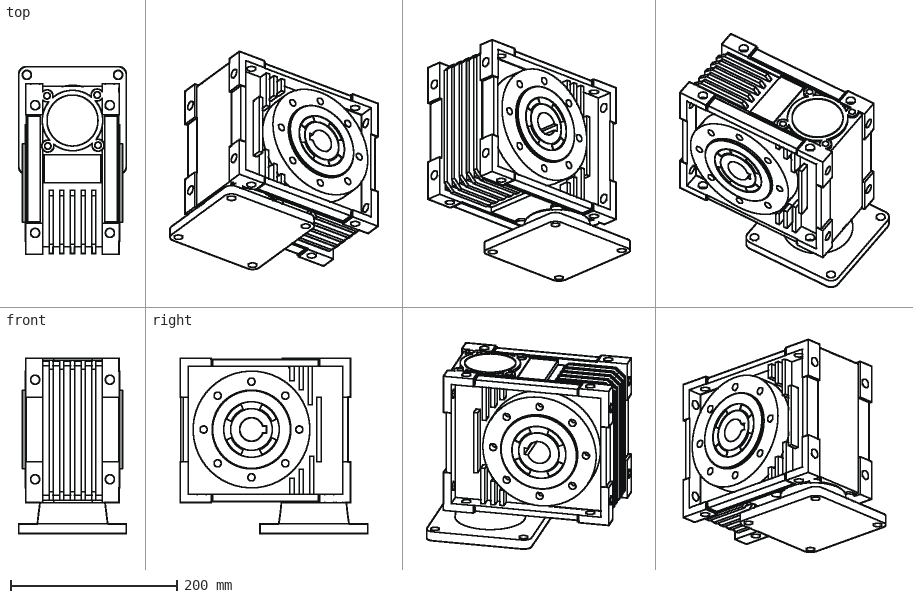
import cadquery as cq
import math


overall_length = 226.0
overall_height = 211.0

housing_height = 173.8
half_height = housing_height / 2
front_y = -85.9
rear_y = 119.3
half_width = 56.3
core_half_width = 35.7

core_rear_y = 116.5
core_front_y = -76.8
core_rear_half_height = 84.3
core_front_half_height = 78.0
name_plate_length = 33.7
name_plate_width = 68.3
name_plate_depth = 1.0

rib_count = 5
rib_pitch = 12.9
rib_width = 5.0
rib_front_y = -85.2
rib_rear_y = -9.0
rib_half_height = core_rear_half_height
rib_chamfer_y = 11.5
rib_chamfer_z = 10.5

shaft_z = 1.1
window_front_y = -76.0
window_rear_y = 109.5
window_half_height = 77.0
post_front_end_y = -48.5
post_rear_end_y = 82.3
post_gap_half_height = 38.9
bar_inset = 0.7
front_bar_y = -82.3
rear_bar_y = 116.2
rear_bar_bevel = 3.5
bar_half_height = 85.7
bar_panel_drop = 0.7
bar_panel_margin = 1.8
bar_lip = 3.2
bar_draft = 1.5

mount_radius = 5.5
mount_x = 45.0
mount_y = (-60.1, 93.5)
mount_z_from_shaft = 60.0

side_rib_x = 48.0
side_rib_width = 5.0
side_rib_middle_y = 81.4
upper_side_ribs = ((71.0, 31.2), (60.0, 49.0), (48.8, 60.0))
lower_side_ribs = ((72.5, -31.2), (60.0, -46.8), (48.8, -57.5))

flange_radius = 70.3
flange_x = 57.0
lip_radius = 47.5
lip_x = 60.3
lip_chamfer = 0.7
flange_hole_count = 8
flange_hole_radius = 4.3
flange_hole_circle = 57.6
flange_hole_depth = 11.3
bore_radius = 14.0
key_width = 8.4
key_reach = 17.9
hub_radius = 25.0
seal_radius = 33.5
seal_depth = 0.7
window_inner_radius = 26.2
window_outer_radius = 32.8
seal_window_count = 4
seal_window_angle = 45

cover_radius = 36.4
cover_dish_radius = 30.7
cover_dish_depth = 1.0
ear_circle = 42.7
ear_radius = 7.2
ear_hole_radius = 3.8
ear_hole_depth = 11.3
ear_turn = 1.0
neck_top_radius = 39.3
neck_base_radius = 42.5
motor_flange_size = 130.0
worm_y = front_y + overall_length - motor_flange_size / 2
motor_flange_thickness = 11.8
motor_flange_bottom_z = half_height - overall_height
motor_corner_radius = 10.0
motor_hole_offset = 55.0
motor_hole_radius = 5.2


def block(x0, x1, y0, y1, z0, z1):
    return cq.Workplane("XY").box(x1 - x0, y1 - y0, z1 - z0, centered=False).translate((x0, y0, z0))


def disc_x(radius, x0, x1):
    """Cylinder about the output shaft axis, from x0 to x1."""
    return cq.Workplane("YZ", origin=(x0, 0, shaft_z)).circle(radius).extrude(x1 - x0)


def mirrored(body, plane):
    return body.union(body.mirror(plane))


def make_core():
    rear = block(-core_half_width, core_half_width, 0, core_rear_y,
                 -core_rear_half_height, core_rear_half_height)
    front = block(-core_half_width, core_half_width, core_front_y, 0,
                  -core_front_half_height, core_front_half_height)
    recess = block(-name_plate_width / 2, name_plate_width / 2, 0, name_plate_length,
                   core_rear_half_height - name_plate_depth, core_rear_half_height)
    return rear.union(front).cut(recess)


def make_cooling_ribs():
    ramp = rib_half_height - core_front_half_height
    upper = [
        (rib_rear_y, core_front_half_height),
        (rib_rear_y - ramp, rib_half_height),
        (rib_front_y + rib_chamfer_y, rib_half_height),
        (rib_front_y, rib_half_height - rib_chamfer_z),
    ]
    lower = [(y, -z) for y, z in reversed(upper)]
    profile = cq.Workplane("YZ").polyline(upper + lower).close()
    rib = profile.extrude(rib_width / 2, both=True)
    ribs = cq.Workplane("XY")
    for i in range(rib_count):
        x = (i - (rib_count - 1) / 2) * rib_pitch
        ribs = ribs.union(rib.translate((x, 0, 0)))
    return ribs


def make_long_bar():
    """Bar along the top of a frame, with a shallow panel open to the outside."""
    outer_x = half_width - bar_inset
    ends = block(core_half_width, outer_x, post_front_end_y, post_rear_end_y,
                 window_half_height, bar_half_height)
    panel_z = bar_half_height - bar_panel_drop
    lip_x_end = core_half_width + bar_lip
    panel_front_y = post_front_end_y + bar_panel_margin
    panel_length = post_rear_end_y - bar_panel_margin - panel_front_y
    removed = (
        cq.Workplane("XZ", origin=(0, panel_front_y, 0))
        .moveTo(lip_x_end, panel_z)
        .lineTo(outer_x - bar_draft, panel_z)
        .lineTo(outer_x, window_half_height)
        .lineTo(half_width, window_half_height)
        .lineTo(half_width, half_height)
        .lineTo(lip_x_end, half_height)
        .close()
        .extrude(-panel_length)
    )
    return ends.cut(removed)


def make_upright(y0, y1):
    """Vertical bar between the posts, on the front or rear side of a frame."""
    return block(core_half_width, half_width - bar_inset, y0, y1,
                 shaft_z - post_gap_half_height, shaft_z + post_gap_half_height)


def make_rear_upright():
    """Rear vertical bar with its outer edge bevelled."""
    outer_x = half_width - bar_inset
    bevel = (
        cq.Workplane("XY")
        .moveTo(outer_x, rear_bar_y - rear_bar_bevel)
        .lineTo(outer_x, rear_bar_y)
        .lineTo(outer_x - bar_inset, rear_bar_y)
        .close()
        .extrude(half_height, both=True)
    )
    return make_upright(window_rear_y, rear_bar_y).cut(bevel)


def make_frame():
    outline = block(core_half_width, half_width, front_y, rear_y, -half_height, half_height)
    window = block(core_half_width, half_width, window_front_y, window_rear_y,
                   -window_half_height, window_half_height)
    gap_y = block(core_half_width, half_width, post_front_end_y, post_rear_end_y,
                  -half_height, half_height)
    gap_z = block(core_half_width, half_width, front_y, rear_y,
                  shaft_z - post_gap_half_height, shaft_z + post_gap_half_height)
    frame = outline.cut(window).cut(gap_y).cut(gap_z)

    frame = frame.union(mirrored(make_long_bar(), "XY"))
    frame = frame.union(make_upright(front_bar_y, window_front_y)).union(make_rear_upright())

    for y in mount_y:
        drill = cq.Workplane("XY").center(mount_x, y).circle(mount_radius)
        frame = frame.cut(drill.extrude(half_height, both=True))
    for z in (shaft_z - mount_z_from_shaft, shaft_z + mount_z_from_shaft):
        drill = cq.Workplane("XZ", origin=(mount_x, front_y, z)).circle(mount_radius)
        frame = frame.cut(drill.extrude(front_y - rear_y))
    return frame


def make_side_ribs():
    spans = [(side_rib_middle_y, shaft_z - post_gap_half_height, shaft_z + post_gap_half_height)]
    spans += [(y, end_z, window_half_height) for y, end_z in upper_side_ribs]
    spans += [(y, -window_half_height, end_z) for y, end_z in lower_side_ribs]
    ribs = cq.Workplane("XY")
    for y, z0, z1 in spans:
        ribs = ribs.union(
            block(core_half_width, side_rib_x, y - side_rib_width / 2, y + side_rib_width / 2, z0, z1)
        )
    return ribs


def make_seal_window(middle_angle):
    """Ring sector sunk below the seal face."""
    def at(radius, angle):
        return (radius * math.cos(math.radians(angle)), radius * math.sin(math.radians(angle)))

    start = middle_angle - seal_window_angle / 2
    end = middle_angle + seal_window_angle / 2
    return (
        cq.Workplane("YZ", origin=(lip_x, 0, shaft_z))
        .moveTo(*at(window_inner_radius, start))
        .lineTo(*at(window_outer_radius, start))
        .threePointArc(at(window_outer_radius, middle_angle), at(window_outer_radius, end))
        .lineTo(*at(window_inner_radius, end))
        .threePointArc(at(window_inner_radius, middle_angle), at(window_inner_radius, start))
        .close()
        .extrude(-2 * seal_depth)
    )


def make_output_flange():
    flange = disc_x(flange_radius, core_half_width, flange_x)
    lip = disc_x(lip_radius, flange_x, lip_x).faces(">X").chamfer(lip_chamfer)
    flange = flange.union(lip)
    holes = (
        cq.Workplane("YZ", origin=(flange_x, 0, shaft_z))
        .polarArray(flange_hole_circle, 0, 360, flange_hole_count)
        .circle(flange_hole_radius)
        .extrude(-flange_hole_depth)
    )
    seal = disc_x(seal_radius, lip_x - seal_depth, lip_x).cut(
        disc_x(hub_radius, lip_x - seal_depth, lip_x)
    )
    flange = flange.cut(holes).cut(seal)
    for i in range(seal_window_count):
        flange = flange.cut(make_seal_window((i + 0.5) * 360 / seal_window_count))
    return flange


def make_shaft_bore():
    keyway = block(-lip_x, lip_x, 0, key_reach, shaft_z - key_width / 2, shaft_z + key_width / 2)
    return disc_x(bore_radius, -lip_x, lip_x).union(keyway)


def make_cover():
    """Round cover with four screw ears on top of the core."""
    height = half_height - core_rear_half_height
    base = cq.Workplane("XY", origin=(0, worm_y, core_rear_half_height))
    ears = base.polarArray(ear_circle, 45 + ear_turn, 360, 4).circle(ear_radius).extrude(height)
    return base.circle(cover_radius).extrude(height).union(ears)


def make_cover_cuts():
    face = cq.Workplane("XY", origin=(0, worm_y, half_height))
    dish = face.circle(cover_dish_radius).extrude(-cover_dish_depth)
    screws = face.polarArray(ear_circle, 45 + ear_turn, 360, 4).circle(ear_hole_radius)
    return dish.union(screws.extrude(-ear_hole_depth))


def make_motor_flange():
    plate_top_z = motor_flange_bottom_z + motor_flange_thickness
    plate = (
        cq.Workplane("XY", origin=(0, worm_y, motor_flange_bottom_z))
        .rect(motor_flange_size, motor_flange_size)
        .extrude(motor_flange_thickness)
        .edges("|Z")
        .fillet(motor_corner_radius)
    )
    holes = (
        cq.Workplane("XY", origin=(0, worm_y, motor_flange_bottom_z))
        .rect(2 * motor_hole_offset, 2 * motor_hole_offset, forConstruction=True)
        .vertices()
        .circle(motor_hole_radius)
        .extrude(motor_flange_thickness)
    )
    neck = (
        cq.Workplane("XY", origin=(0, worm_y, plate_top_z))
        .circle(neck_base_radius)
        .workplane(offset=-half_height - plate_top_z)
        .circle(neck_top_radius)
        .loft()
    )
    return plate.cut(holes).union(neck)


side = make_frame().union(make_side_ribs()).union(make_output_flange())

result = (
    make_core()
    .union(make_cooling_ribs())
    .union(mirrored(side, "YZ"))
    .union(mirrored(make_cover(), "XY"))
    .union(make_motor_flange())
    .cut(make_cover_cuts())
    .cut(make_shaft_bore())
)